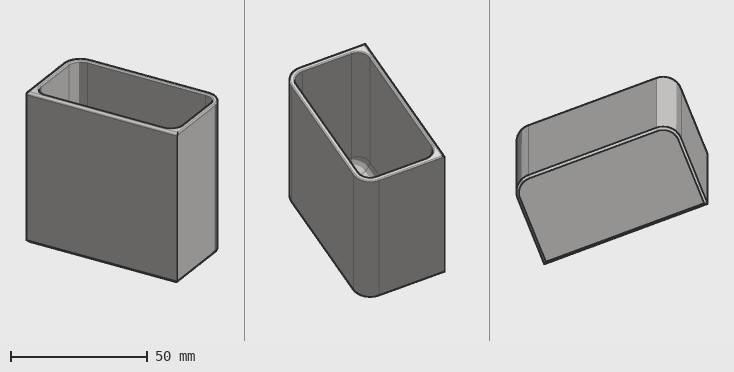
import cadquery as cq

width = 64.0
depth = 34.0
height = 62.0

wall = 2.0
back_corner_radius = 7.0
cavity_radius = back_corner_radius - wall

base_chamfer = 1.0
front_rim_fillet = 1.0
outer_rim_fillet = 0.5
inner_rim_fillet = 0.5


def make_body():
    """Solid block with rounded back corners and all outer edges treated."""
    block = cq.Workplane("XY").box(width, depth, height, centered=(True, True, False))
    block = block.edges("|Z and >Y").fillet(back_corner_radius)
    block = block.faces("<Z").edges().chamfer(base_chamfer)
    front_rounded = block.faces(">Z").edges("<Y").fillet(front_rim_fillet)
    sides_rounded = block.faces(">Z").edges("not <Y").fillet(outer_rim_fillet)
    return front_rounded.intersect(sides_rounded)


def make_cavity():
    """Open-topped pocket whose upright and floor edges share one radius."""
    pocket = (
        cq.Workplane("XY")
        .workplane(offset=wall)
        .box(width - 2 * wall, depth - 2 * wall, height - wall, centered=(True, True, False))
    )
    return pocket.edges("|Z or <Z").fillet(cavity_radius)


def round_mouth(cup):
    """Round the inside edge of the rim."""
    mouth = cq.selectors.BoxSelector(
        (-width / 2 + wall / 2, -depth / 2 + wall / 2 + front_rim_fillet / 2, height - inner_rim_fillet / 2),
        (width / 2 - wall / 2, depth / 2 - wall / 2, height + inner_rim_fillet / 2),
        boundingbox=True,
    )
    return cup.edges(mouth).fillet(inner_rim_fillet)


result = round_mouth(make_body().cut(make_cavity()))